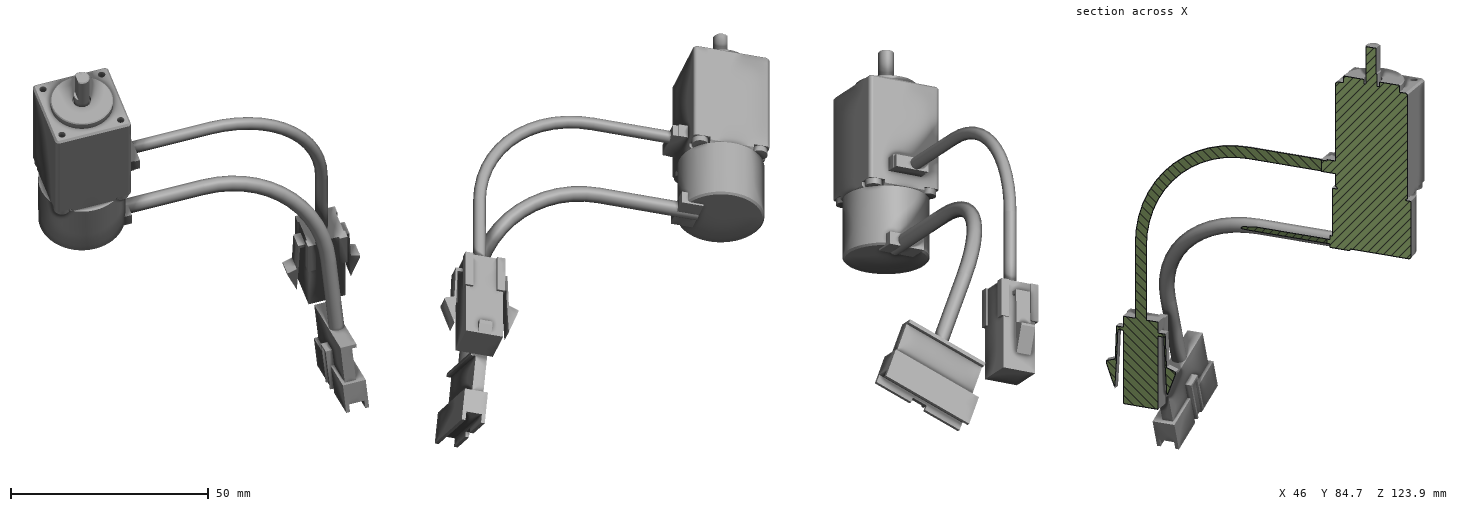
import cadquery as cq

case_width = 20.0
case_length = 29.2
case_edge_fillet = 1.0
case_top_chamfer = 0.5
case_bottom_chamfer = 0.6
mount_hole_spacing = 15.6
mount_hole_diameter = 1.9
mount_hole_depth = 5.0
screw_head_radius = 2.1
screw_head_height = 1.5
screw_notch_width = 4.3

boss_radius = 7.9
boss_height = 1.9
boss_chamfer = 0.2
shaft_radius = 2.0
shaft_length = 10.9
shaft_chamfer = 0.2
shaft_flat_depth = 0.6
shaft_flat_length = 6.9
shaft_recess_radius = 2.4
shaft_recess_depth = 1.2

cover_radius = 11.0
cover_length = 15.8
cover_chamfer = 0.5
cover_bottom = -case_length - cover_length

bend_radius = 30.0
plug_lead_radius = 1.6
plug_lead_x = -1.1
plug_lead_z = -23.5
plug_lead_run = 20.0
plug_lead_drop = 20.2
wide_lead_radius = 2.0
wide_lead_x = 0.7
wide_lead_z = -44.0
wide_lead_run = 19.4
wide_lead_drop = 19.9
wide_lead_tilt = 20.0

case_gland_face = 14.0
case_gland_step = 12.5
case_gland_width = 9.2
case_gland_root_width = 9.4
case_gland_bottom = -25.2
case_gland_top = -22.0
case_gland_root_top = -21.7
cover_gland_left = -4.6
cover_gland_right = 5.2
cover_gland_inner = 6.0
cover_gland_face = 11.6
cover_gland_bottom = -45.5
cover_gland_top = -42.2
cover_collar_face = 12.5

plug_width = 9.2
plug_depth = 9.8
plug_height = 23.9
post_span = 10.5
post_width = 2.1
post_height = 10.0
latch_width = 4.0
latch_top = -3.0
latch_bar_thickness = 1.0
latch_root_reach = 6.8
latch_arm_reach = 7.2
latch_arm_thickness = 0.5
latch_hook_reach = 9.7
latch_hook_top = -12.0
latch_hook_peak = -12.9
latch_hook_tip_height = 0.6
latch_hook_bottom = -20.2
nib_width = 3.5
nib_reach = 1.1
nib_top = -20.5
nib_shoulder = -21.7

wide_offset_x = -1.1
head_width = 23.0
head_height = 10.3
head_front = -2.1
head_back = 0.9
lip_back = 2.1
lip_height = 1.0
skirt_width = 25.4
skirt_height = 8.2
skirt_front = -3.0
skirt_back = 3.1
skirt_wall = 1.0
channel_depth = 2.2
key_width = 4.2
key_front = -3.8
key_top = -5.8
key_bottom = -17.1
key_rim = 0.6
key_recess_depth = 0.6


def block(x_range, y_range, z_range):
    """Box between the given (low, high) limits."""
    corners = (x_range, y_range, z_range)
    sizes = [high - low for low, high in corners]
    lows = tuple(low for low, high in corners)
    return cq.Workplane("XY").box(*sizes, centered=False).translate(lows)


def centred(width, middle=0.0):
    """(low, high) limits of a width around a middle."""
    return (middle - width / 2, middle + width / 2)


def make_case():
    case = cq.Workplane("XY").rect(case_width, case_width).extrude(-case_length)
    case = case.edges("|Z").fillet(case_edge_fillet)
    case = case.faces(">Z").edges().chamfer(case_top_chamfer)
    case = case.faces("<Z").edges().chamfer(case_bottom_chamfer)
    holes = (
        cq.Workplane("XY")
        .rect(mount_hole_spacing, mount_hole_spacing, forConstruction=True)
        .vertices()
        .circle(mount_hole_diameter / 2)
        .extrude(-mount_hole_depth)
    )
    return case.cut(holes)


def make_corner_notches():
    """Square notches at the four rear corners of the case."""
    pitch = case_width - screw_notch_width
    return (
        cq.Workplane("XY")
        .workplane(offset=-case_length)
        .rect(pitch, pitch, forConstruction=True)
        .vertices()
        .rect(screw_notch_width, screw_notch_width)
        .extrude(screw_head_height)
    )


def make_screw_heads():
    """Round screw heads that fill the corner notches, in line with the mounting holes."""
    return (
        cq.Workplane("XY")
        .workplane(offset=-case_length)
        .rect(mount_hole_spacing, mount_hole_spacing, forConstruction=True)
        .vertices()
        .circle(screw_head_radius)
        .extrude(screw_head_height)
    )


def make_boss():
    boss = cq.Workplane("XY").circle(boss_radius).extrude(boss_height)
    boss = boss.faces(">Z").edges().chamfer(boss_chamfer)
    recess = (
        cq.Workplane("XY")
        .workplane(offset=boss_height - shaft_recess_depth)
        .circle(shaft_recess_radius)
        .extrude(shaft_recess_depth)
    )
    return boss.cut(recess)


def make_shaft():
    shaft = cq.Workplane("XY").circle(shaft_radius).extrude(shaft_length)
    shaft = shaft.faces(">Z").edges().chamfer(shaft_chamfer)
    flat = block(
        centred(2 * shaft_radius),
        (-shaft_radius, -shaft_radius + shaft_flat_depth),
        (shaft_length - shaft_flat_length, shaft_length),
    )
    return shaft.cut(flat)


def make_cover():
    cover = cq.Workplane("XY").workplane(offset=cover_bottom).circle(cover_radius).extrude(cover_length)
    return cover.faces("<Z").edges().chamfer(cover_chamfer)


def make_case_gland():
    tip = block(
        centred(case_gland_width),
        (0, case_gland_face),
        (case_gland_bottom, case_gland_top),
    )
    root = block(
        centred(case_gland_root_width),
        (0, case_gland_step),
        (case_gland_bottom, case_gland_root_top),
    )
    return tip.union(root)


def make_cover_gland():
    base = block(
        (cover_gland_left, cover_gland_right),
        (cover_gland_inner, cover_gland_face),
        (cover_gland_bottom, cover_gland_top),
    )
    collar = (
        cq.Workplane("XZ", origin=(wide_lead_x, cover_collar_face, wide_lead_z))
        .circle(wide_lead_radius)
        .extrude(cover_collar_face - cover_gland_inner)
    )
    return base.union(collar)


def make_motor():
    motor = make_case().cut(make_corner_notches())
    features = [
        make_screw_heads(),
        make_boss(),
        make_shaft(),
        make_cover(),
        make_case_gland(),
        make_cover_gland(),
    ]
    for feature in features:
        motor = motor.union(feature)
    return motor


def make_lead(radius, run, drop):
    """Lead that leaves the origin along +Y, bends down through 90 degrees and hangs along -Z."""
    path = (
        cq.Workplane("YZ")
        .lineTo(run, 0)
        .tangentArcPoint((run + bend_radius, -bend_radius), relative=False)
        .lineTo(run + bend_radius, -bend_radius - drop)
    )
    return cq.Workplane("XZ").circle(radius).sweep(path)


def hang_plug(plug, run, drop):
    """Move a plug from its local origin to the lower end of its lead."""
    return plug.translate((0, run + bend_radius, -bend_radius - drop))


def make_latch():
    """Cantilever latch on the +Y side of the plug."""
    arm_inner = latch_arm_reach - latch_arm_thickness
    root_inner = latch_root_reach - latch_arm_thickness
    profile = [
        (0, latch_top),
        (latch_root_reach, latch_top),
        (latch_arm_reach, latch_hook_top),
        (latch_hook_reach, latch_hook_peak),
        (latch_hook_reach, latch_hook_peak - latch_hook_tip_height),
        (latch_arm_reach, latch_hook_bottom),
        (arm_inner, latch_hook_top),
        (root_inner, latch_top - latch_bar_thickness),
        (0, latch_top - latch_bar_thickness),
    ]
    return cq.Workplane("YZ").polyline(profile).close().extrude(latch_width / 2, both=True)


def make_nib():
    """Wedge on the -X face of the plug, near the bottom."""
    face = -plug_width / 2
    profile = [
        (0, nib_top),
        (face - nib_reach, nib_top),
        (face - nib_reach, nib_shoulder),
        (face, -plug_height),
        (0, -plug_height),
    ]
    return cq.Workplane("XZ").polyline(profile).close().extrude(nib_width / 2, both=True)


def make_latched_plug():
    plug = block(centred(plug_width), centred(plug_depth), (-plug_height, 0))
    post_pitch = post_span - post_width
    posts = (
        cq.Workplane("XY")
        .rect(post_pitch, post_pitch, forConstruction=True)
        .vertices()
        .rect(post_width, post_width)
        .extrude(-post_height)
    )
    latch = make_latch()
    return plug.union(posts).union(latch).union(latch.mirror("XZ")).union(make_nib())


def make_wide_plug():
    bottom = -head_height - skirt_height
    head_x = centred(head_width, wide_offset_x)
    skirt_x = centred(skirt_width, wide_offset_x)
    key_x = centred(key_width, wide_offset_x)

    head = block(head_x, (head_front, head_back), (-head_height, 0))
    lip = block(head_x, (head_front, lip_back), (-lip_height, 0))
    skirt = block(skirt_x, (skirt_front, skirt_back), (bottom, -head_height))
    key = block(key_x, (key_front, 0), (key_bottom, key_top))
    key_recess = block(
        centred(key_width - 2 * key_rim, wide_offset_x),
        (key_front, key_front + key_recess_depth),
        (key_bottom, key_top - key_rim),
    )
    key = key.cut(key_recess)

    channel_top = bottom + channel_depth
    channel = block(
        skirt_x, (skirt_front + skirt_wall, skirt_back - skirt_wall), (bottom, channel_top)
    )
    key_slot = block(key_x, (skirt_front, 0), (bottom, key_bottom))
    return head.union(lip).union(skirt).union(key).cut(channel).cut(key_slot)


motor = make_motor()

latched_lead = make_lead(plug_lead_radius, plug_lead_run, plug_lead_drop)
latched_lead = latched_lead.union(hang_plug(make_latched_plug(), plug_lead_run, plug_lead_drop))
latched_lead = latched_lead.translate((plug_lead_x, case_gland_face, plug_lead_z))

wide_lead = make_lead(wide_lead_radius, wide_lead_run, wide_lead_drop)
wide_lead = wide_lead.union(hang_plug(make_wide_plug(), wide_lead_run, wide_lead_drop))
wide_lead = wide_lead.rotate((0, 0, 0), (0, 1, 0), -wide_lead_tilt)
wide_lead = wide_lead.translate((wide_lead_x, cover_collar_face, wide_lead_z))

result = cq.Compound.makeCompound([motor.val(), latched_lead.val(), wide_lead.val()])